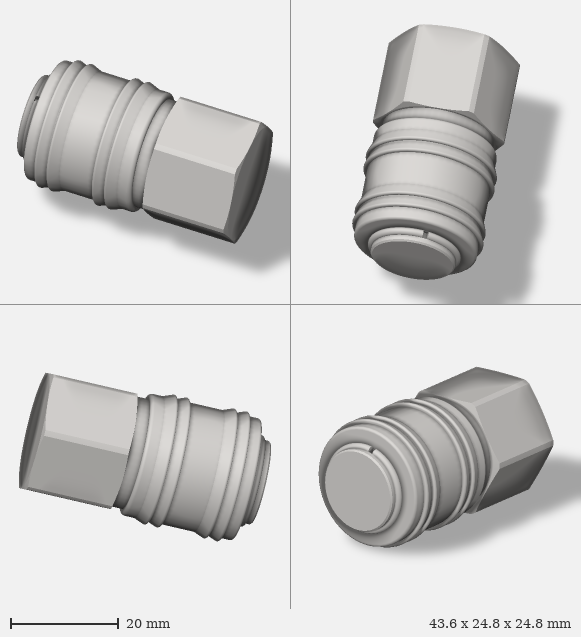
import cadquery as cq
import math

TOTAL_LENGTH = 43.6

SPIGOT_DIA = 15.95
SPIGOT_CHAMFER = 0.3

RING_WIDTH = 1.5
RING_CENTRE_X = 1.95
RING_START_X = RING_CENTRE_X - RING_WIDTH / 2
RING_END_X = RING_CENTRE_X + RING_WIDTH / 2
RING_BORE_DIA = 14.45
RING_ROUND_CENTRE_DIA = 16.1
RING_GAP_ANGLE = 7.0
RING_GAP_POSITION = 14.7

SLEEVE_DIA = 23.3
SLEEVE_START_X = 2.75
SLEEVE_END_X = 24.2
SLEEVE_FRONT_FILLET = 0.52
SLEEVE_REAR_FILLET = 0.7

RIB_DIA = 24.8
RIB_SLOPE = 21.0
RIB_FILLET = 0.4
RIB_PAIR_STARTS = (5.2, 16.7)
RIB_PITCH = 2.45
RIB_LAND_WIDTH = 0.3

NECK_DIA = 21.0
HEX_START_X = 26.65
HEX_SIDES = 6
HEX_ACROSS_FLATS = 22.0
HEX_CORNER_DIA = RIB_DIA
HEX_CHAMFER_ANGLE = 15.0


def cylinder(diameter, start_x, end_x):
    return cq.Workplane("YZ", origin=(start_x, 0, 0)).circle(diameter / 2).extrude(end_x - start_x)


def revolve_about_x(profile, angle=360):
    return profile.close().revolve(angle, (0, 0, 0), (1, 0, 0))


def make_spigot():
    spigot = cylinder(SPIGOT_DIA, 0, SLEEVE_START_X)
    spigot = spigot.faces("<X").chamfer(SPIGOT_CHAMFER)
    groove = cylinder(SPIGOT_DIA, RING_START_X, RING_END_X)
    groove = groove.cut(cylinder(RING_BORE_DIA, RING_START_X, RING_END_X))
    return spigot.cut(groove)


def make_rib(start_x, end_x=None):
    """Rib with a steep front, a rounded crest and a sloping back, cut off at end_x if given."""
    slope = math.radians(RIB_SLOPE)
    base_radius = SLEEVE_DIA / 2
    crest_x = start_x + RIB_FILLET
    fillet_centre_radius = RIB_DIA / 2 - RIB_FILLET
    back_x = crest_x + RIB_FILLET * math.sin(slope)
    back_radius = fillet_centre_radius + RIB_FILLET * math.cos(slope)
    foot_x = back_x + (back_radius - base_radius) / math.tan(slope)
    profile = (
        cq.Workplane("XY")
        .moveTo(start_x, 0)
        .lineTo(start_x, fillet_centre_radius)
        .threePointArc((crest_x, RIB_DIA / 2), (back_x, back_radius))
    )
    if end_x is None:
        profile = profile.lineTo(foot_x, base_radius).lineTo(foot_x, 0)
    else:
        land_x = end_x - RIB_LAND_WIDTH
        land_radius = back_radius - (land_x - back_x) * math.tan(slope)
        profile = profile.lineTo(land_x, land_radius).lineTo(end_x, land_radius).lineTo(end_x, 0)
    return revolve_about_x(profile)


def make_sleeve():
    sleeve = cylinder(SLEEVE_DIA, SLEEVE_START_X, SLEEVE_END_X)
    sleeve = sleeve.faces("<X").edges().fillet(SLEEVE_FRONT_FILLET)
    sleeve = sleeve.faces(">X").edges().fillet(SLEEVE_REAR_FILLET)
    for pair_start in RIB_PAIR_STARTS:
        second_start = pair_start + RIB_PITCH
        sleeve = sleeve.union(make_rib(pair_start, second_start))
        sleeve = sleeve.union(make_rib(second_start))
    return sleeve


def make_hexagon():
    """Hexagon with corners on +Y and -Y, corners turned round and both ends chamfered."""
    prism = (
        cq.Workplane("YZ", origin=(HEX_START_X, 0, 0))
        .polygon(HEX_SIDES, HEX_ACROSS_FLATS / math.cos(math.pi / HEX_SIDES))
        .extrude(TOTAL_LENGTH - HEX_START_X)
    )
    face_radius = HEX_ACROSS_FLATS / 2
    corner_radius = HEX_CORNER_DIA / 2
    chamfer_depth = (corner_radius - face_radius) * math.tan(math.radians(HEX_CHAMFER_ANGLE))
    turned_blank = revolve_about_x(
        cq.Workplane("XY")
        .moveTo(HEX_START_X, 0)
        .lineTo(HEX_START_X, face_radius)
        .lineTo(HEX_START_X + chamfer_depth, corner_radius)
        .lineTo(TOTAL_LENGTH - chamfer_depth, corner_radius)
        .lineTo(TOTAL_LENGTH, face_radius)
        .lineTo(TOTAL_LENGTH, 0)
    )
    return prism.intersect(turned_blank)


def make_housing():
    neck = cylinder(NECK_DIA, SLEEVE_END_X, HEX_START_X)
    return make_spigot().union(make_sleeve()).union(neck).union(make_hexagon())


def make_snap_ring():
    bore_radius = RING_BORE_DIA / 2
    round_centre_radius = RING_ROUND_CENTRE_DIA / 2
    outer_radius = round_centre_radius + RING_WIDTH / 2
    section = (
        cq.Workplane("XZ")
        .moveTo(RING_START_X, bore_radius)
        .lineTo(RING_START_X, round_centre_radius)
        .threePointArc((RING_CENTRE_X, outer_radius), (RING_END_X, round_centre_radius))
        .lineTo(RING_END_X, bore_radius)
    )
    ring = revolve_about_x(section, 360 - RING_GAP_ANGLE)
    return ring.rotate((0, 0, 0), (1, 0, 0), RING_GAP_POSITION + RING_GAP_ANGLE / 2)


housing = make_housing()
snap_ring = make_snap_ring()

result = cq.Compound.makeCompound([housing.solids().val(), snap_ring.val()])